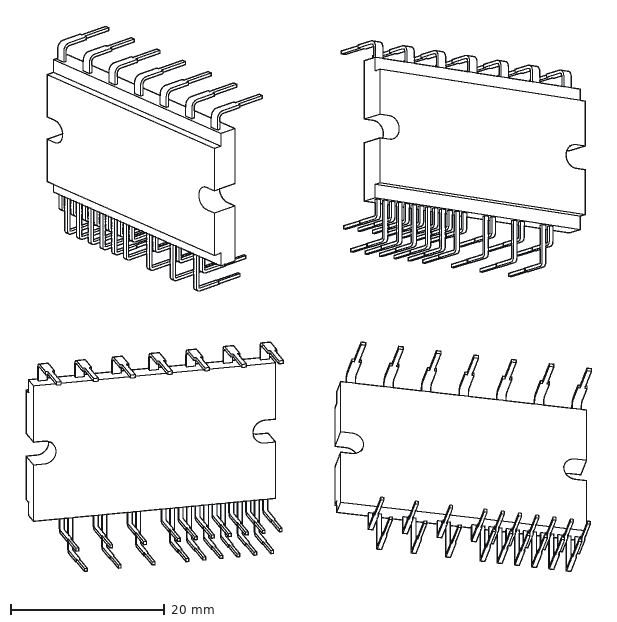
import cadquery as cq

BODY_LENGTH = 32.8
BODY_HEIGHT = 18.8
BODY_DEPTH = 3.6
STEP_DEPTH = 1.1
STEP_HEIGHT = 1.8

NOTCH_WIDTH = 3.15
NOTCH_DEPTH = 3.05

LEAD_THICKNESS = 0.43
LEAD_FRONT_Y = -BODY_DEPTH + 1.55
SHOULDER_Y = 1.87

POWER_COUNT = 7
POWER_PITCH = 5.02
POWER_CENTRE_X = -0.4
POWER_WIDTH = 1.2
POWER_TIP_WIDTH = 0.62
POWER_REACH = 2.5
POWER_TIP_Y = 6.07
POWER_BEND_RADIUS = 1.0

SIGNAL_PITCH = 1.15
SIGNAL_FIRST_X = -15.5
SIGNAL_SLOTS = list(range(13)) + [15, 16, 19, 20, 23, 24]
SIGNAL_WIDTH = 0.6
SIGNAL_TIP_WIDTH = 0.4
SIGNAL_SHORT_REACH = 2.6
SIGNAL_LONG_REACH = 5.5
SIGNAL_TIP_Y = 5.6
SIGNAL_BEND_RADIUS = 0.55


def make_body():
    """Block with a raised front panel and a notch in each short side."""
    base_depth = BODY_DEPTH - STEP_DEPTH
    base = cq.Workplane("XY").box(BODY_LENGTH, base_depth, BODY_HEIGHT).translate((0, -base_depth / 2, 0))
    panel_height = BODY_HEIGHT - 2 * STEP_HEIGHT
    panel = cq.Workplane("XY").box(BODY_LENGTH, BODY_DEPTH, panel_height).translate((0, -BODY_DEPTH / 2, 0))
    notches = (
        cq.Workplane("XZ")
        .pushPoints([(-BODY_LENGTH / 2, 0), (BODY_LENGTH / 2, 0)])
        .slot2D(2 * NOTCH_DEPTH, NOTCH_WIDTH)
        .extrude(BODY_DEPTH)
    )
    return base.union(panel).cut(notches)


def make_lead(width, tip_width, reach, tip_y, bend_radius):
    """Lead centred on X = 0 that rises from Z = 0, bends back to +Y and narrows at the shoulder."""
    inner_radius = bend_radius - LEAD_THICKNESS
    inner_y = LEAD_FRONT_Y + LEAD_THICKNESS
    inner_z = reach - LEAD_THICKNESS
    bend_y = LEAD_FRONT_Y + bend_radius
    bend_z = reach - bend_radius
    wide_part = (
        cq.Workplane("YZ")
        .moveTo(LEAD_FRONT_Y, 0)
        .lineTo(LEAD_FRONT_Y, bend_z)
        .radiusArc((bend_y, reach), bend_radius)
        .lineTo(SHOULDER_Y, reach)
        .lineTo(SHOULDER_Y, inner_z)
        .lineTo(bend_y, inner_z)
        .radiusArc((inner_y, bend_z), -inner_radius)
        .lineTo(inner_y, 0)
        .close()
        .extrude(width / 2, both=True)
    )
    tip_length = tip_y - SHOULDER_Y
    tip = (
        cq.Workplane("XY")
        .box(tip_width, tip_length, LEAD_THICKNESS)
        .translate((0, SHOULDER_Y + tip_length / 2, reach - LEAD_THICKNESS / 2))
    )
    return wide_part.union(tip)


def make_signal_lead(reach):
    """Signal lead that hangs down from the bottom edge of the body."""
    lead = make_lead(SIGNAL_WIDTH, SIGNAL_TIP_WIDTH, reach, SIGNAL_TIP_Y, SIGNAL_BEND_RADIUS)
    return lead.mirror("XY").translate((0, 0, -BODY_HEIGHT / 2))


result = make_body()

power_lead = make_lead(POWER_WIDTH, POWER_TIP_WIDTH, POWER_REACH, POWER_TIP_Y, POWER_BEND_RADIUS)
power_lead = power_lead.translate((0, 0, BODY_HEIGHT / 2))
for index in range(POWER_COUNT):
    lead_x = POWER_CENTRE_X + (index - (POWER_COUNT - 1) / 2) * POWER_PITCH
    result = result.union(power_lead.translate((lead_x, 0, 0)))

short_lead = make_signal_lead(SIGNAL_SHORT_REACH)
long_lead = make_signal_lead(SIGNAL_LONG_REACH)
for slot in SIGNAL_SLOTS:
    signal_lead = short_lead if slot % 2 == 0 else long_lead
    lead_x = SIGNAL_FIRST_X + slot * SIGNAL_PITCH
    result = result.union(signal_lead.translate((lead_x, 0, 0)))